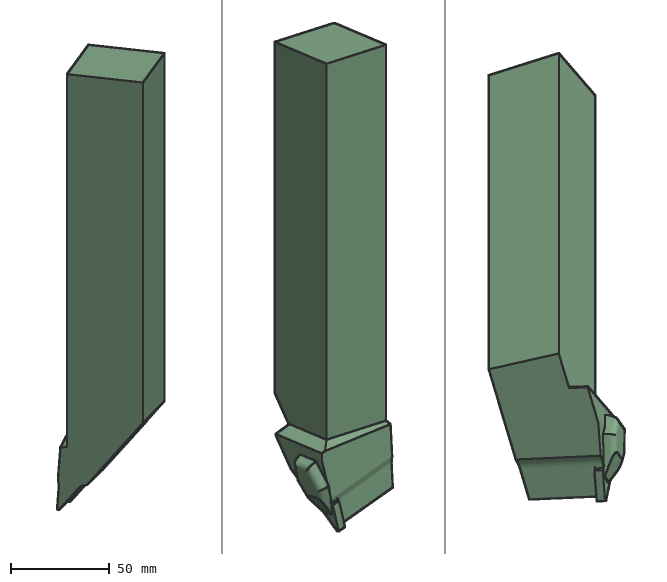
import cadquery as cq
import math


shank_size = 40.0
tool_length = 251.4
split_height = 75.5

head_left = -15.0
head_back = 50.0
head_right_at_shank = 28.7
head_right_at_back = 27.6
shoulder_height = 47.0
roof_slope = 0.25

rake_angle = 13
lean_angle = 5.7
tip_depth = 40.2
tip_overhang = 10.3
sharp_excess_x = 0.13
sharp_excess_z = 1.5
seat_corner = (-tip_overhang - sharp_excess_x, tip_depth, -sharp_excess_z)

side_angle = 3
insert_angle = 35
flank_angle = side_angle + insert_angle

insert_edge = 17.3
insert_thickness = 4.8
nose_radius = 0.8

neck_inset = 0.8
flank_outset = 1.3
neck_length = 17.3
side_blend_length = 3.3
flank_blend_start = 20.0
flank_blend_length = 4.8
wedge_reach = 150.8

clamp_height = 6.0
clamp_root = 2.5
clamp_rounding = 3.3
clamp_draft = 12
clamp_outline = [
    (0.8, 28.7),
    (6.8, 41.7),
    (18.9, 41.7),
    (19.0, 30.2),
    (8.3, 11.5),
    (2.5, 11.5),
    (1.5, 19.0),
]
nose_slope_start = 24.0
nose_slope_end = 10.5
clearance = 2.5


def seat_plane():
    """Seat plane with its origin at the seat corner and its normal pointing into the holder."""
    rake = math.radians(rake_angle)
    lean = math.radians(lean_angle)
    outward = cq.Vector(
        -math.sin(lean),
        math.cos(lean) * math.cos(rake),
        -math.cos(lean) * math.sin(rake),
    )
    across = cq.Vector(1, 0, 0) + outward * math.sin(lean)
    return cq.Plane(cq.Vector(*seat_corner), across, outward * -1)


def edge_point(angle, distance, to_right=0.0):
    """Point along a cutting edge from the seat corner, moved sideways to the right of the edge."""
    turn = math.radians(angle)
    return (
        distance * math.sin(turn) + to_right * math.cos(turn),
        distance * math.cos(turn) - to_right * math.sin(turn),
    )


def rounded_corner(inset):
    """Ends and middle of the nose arc on a corner whose sides lie inside the cutting edges by inset."""
    half = math.radians(insert_angle / 2)
    middle_angle = side_angle + insert_angle / 2
    centre_distance = (inset + nose_radius) / math.sin(half)
    tangent_distance = (inset + nose_radius) / math.tan(half)
    side_end = edge_point(side_angle, tangent_distance, inset)
    flank_end = edge_point(flank_angle, tangent_distance, -inset)
    middle = edge_point(middle_angle, centre_distance - nose_radius)
    return side_end, middle, flank_end


def make_insert():
    side_end, middle, flank_end = rounded_corner(0)
    side_corner = edge_point(side_angle, insert_edge)
    flank_corner = edge_point(flank_angle, insert_edge)
    far_corner = (side_corner[0] + flank_corner[0], side_corner[1] + flank_corner[1])
    far_side = (far_corner[0] - side_end[0], far_corner[1] - side_end[1])
    far_middle = (far_corner[0] - middle[0], far_corner[1] - middle[1])
    far_flank = (far_corner[0] - flank_end[0], far_corner[1] - flank_end[1])
    return (
        cq.Workplane(seat_plane())
        .moveTo(*side_end)
        .threePointArc(middle, flank_end)
        .lineTo(*flank_corner)
        .lineTo(*far_side)
        .threePointArc(far_middle, far_flank)
        .lineTo(*side_corner)
        .close()
        .extrude(insert_thickness)
    )


def make_wedge():
    """Everything between the side and the flank of the head, below the seat plane."""
    side_end, middle, flank_end = rounded_corner(neck_inset)
    flank_blend_end = flank_blend_start + flank_blend_length
    return (
        cq.Workplane(seat_plane())
        .moveTo(*side_end)
        .threePointArc(middle, flank_end)
        .lineTo(*edge_point(flank_angle, flank_blend_start, -neck_inset))
        .tangentArcPoint(edge_point(flank_angle, flank_blend_end, flank_outset), relative=False)
        .lineTo(*edge_point(flank_angle, wedge_reach, flank_outset))
        .lineTo(*edge_point(side_angle, wedge_reach))
        .lineTo(*edge_point(side_angle, neck_length + side_blend_length))
        .lineTo(*edge_point(side_angle, neck_length, neck_inset))
        .close()
        .extrude(wedge_reach)
    )


def make_head_block():
    """Untrimmed head, with a roof that falls to the left and to the back."""
    left_fall = -head_left * roof_slope
    back_fall = (head_back - shank_size) * roof_slope
    plan = (
        cq.Workplane("XY")
        .polyline([
            (head_left, 0),
            (head_right_at_shank, 0),
            (head_right_at_shank, shank_size),
            (head_right_at_back, head_back),
            (head_left, head_back),
        ])
        .close()
        .extrude(shoulder_height)
    )
    left_roof = (
        cq.Workplane("XZ")
        .polyline([
            (head_left, 0),
            (head_right_at_shank, 0),
            (head_right_at_shank, shoulder_height),
            (0, shoulder_height),
            (head_left, shoulder_height - left_fall),
        ])
        .close()
        .extrude(-head_back)
    )
    back_roof = (
        cq.Workplane("YZ", origin=(head_left, 0, 0))
        .polyline([
            (0, 0),
            (head_back, 0),
            (head_back, shoulder_height - back_fall),
            (shank_size, shoulder_height),
            (0, shoulder_height),
        ])
        .close()
        .extrude(head_right_at_shank - head_left)
    )
    return plan.intersect(left_roof).intersect(back_roof)


def make_clamp():
    """Clamp above the seat plane, with drafted sides, a rounded top and a nose that slopes down."""
    seat = seat_plane()
    outward = seat.zDir * -1
    body = (
        cq.Workplane(seat)
        .polyline(clamp_outline)
        .close()
        .extrude(-clamp_height, taper=clamp_draft)
        .faces(cq.selectors.DirectionMinMaxSelector(outward))
        .edges()
        .fillet(clamp_rounding)
    )
    cross_plane = cq.Plane(seat.origin, outward, seat.xDir)
    slope_run = (nose_slope_start - nose_slope_end) / clamp_height
    cut_height = clamp_height + clearance
    nose_cut = (
        cq.Workplane(cross_plane)
        .polyline([
            (0, 0),
            (0, nose_slope_end),
            (cut_height, nose_slope_end + slope_run * cut_height),
            (cut_height, 0),
        ])
        .close()
        .extrude(shank_size, both=True)
    )
    return body.cut(nose_cut)


def make_shank(bottom, top):
    return cq.Workplane("XY", origin=(0, 0, bottom)).box(
        shank_size, shank_size, top - bottom, centered=False
    )


def make_clamp_root():
    return cq.Workplane(seat_plane()).polyline(clamp_outline).close().extrude(clamp_root)


def make_holder(insert):
    """Shank, head and clamp as one solid, with a pocket that the insert fills."""
    blank = make_shank(0, split_height).union(make_head_block()).union(make_clamp_root())
    head = blank.intersect(make_wedge())
    plain_shank = make_shank(split_height, tool_length)
    return head.union(plain_shank).union(make_clamp()).cut(insert).clean()


insert = make_insert()
holder = make_holder(insert)

result = cq.Compound.makeCompound([holder.val(), insert.val()])